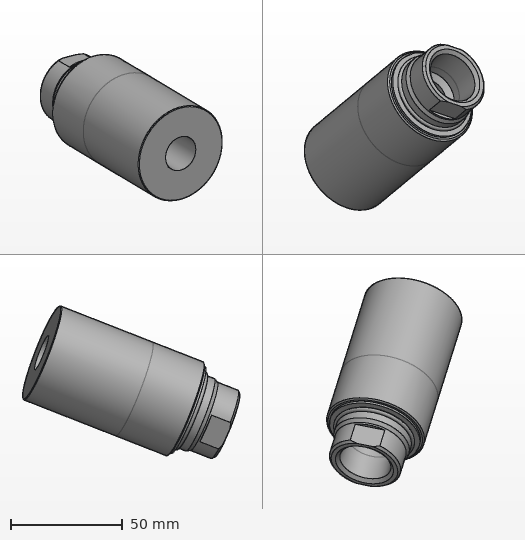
import cadquery as cq
import math

total_length = 89.87
nose_length = 11.15
cone_end = 13.0
flange_start = 18.75
body_start = 19.85
seam_position = 45.1

body_diameter = 45.26
flange_diameter = 41.78
neck_diameter = 35.0
nose_diameter = 32.97

nose_chamfer = 1.1
body_front_chamfer_length = 0.55
body_front_chamfer_depth = 0.8
body_rear_chamfer = 0.4

ring_centre_diameter = 35.26
ring_section_radius = 1.05

flat_across = 30.0
flat_length = 10.2

bore_mouth_diameter = 26.8
bore_start_diameter = 23.6
bore_end_diameter = 22.63
through_diameter = 16.26
bore_mouth_depth = (bore_mouth_diameter - bore_start_diameter) / 2
taper_end = 13.7
bore_depth = 18.0
drill_point_angle = 118.0
bore_floor_height = (bore_end_diameter - through_diameter) / 2
drill_point_length = bore_floor_height / math.tan(math.radians(drill_point_angle / 2))


def revolve_about_x(points):
    """Revolve a closed (x, radius) outline about the X axis."""
    return cq.Workplane("XY").polyline(points).close().revolve(360, (0, 0, 0), (1, 0, 0))


def make_front():
    """Nose, cone, neck, flange and the front part of the body, up to the seam."""
    nose_radius = nose_diameter / 2
    neck_radius = neck_diameter / 2
    flange_radius = flange_diameter / 2
    body_radius = body_diameter / 2
    return revolve_about_x([
        (0, 0),
        (0, nose_radius - nose_chamfer),
        (nose_chamfer, nose_radius),
        (nose_length, nose_radius),
        (cone_end, neck_radius),
        (flange_start, neck_radius),
        (flange_start, flange_radius),
        (body_start, flange_radius),
        (body_start, body_radius - body_front_chamfer_depth),
        (body_start + body_front_chamfer_length, body_radius),
        (seam_position, body_radius),
        (seam_position, 0),
    ])


def make_rear():
    """Rear part of the body, behind the seam, with a small edge chamfer."""
    rear_length = total_length - seam_position
    base = cq.Workplane("YZ", origin=(seam_position, 0, 0))
    rear = base.circle(body_diameter / 2).extrude(rear_length)
    return rear.faces(">X").chamfer(body_rear_chamfer)


def make_sealing_ring():
    """Round-section ring around the neck, touching the flange."""
    ring_x = flange_start - ring_section_radius
    section = cq.Workplane("XY").center(ring_x, ring_centre_diameter / 2).circle(ring_section_radius)
    axis_offset = -ring_centre_diameter / 2
    return section.revolve(360, (0, axis_offset, 0), (1, axis_offset, 0))


def make_bore():
    """Chamfered mouth, taper, straight stretch and conical floor, then the through hole."""
    return revolve_about_x([
        (0, 0),
        (0, bore_mouth_diameter / 2),
        (bore_mouth_depth, bore_start_diameter / 2),
        (taper_end, bore_end_diameter / 2),
        (bore_depth, bore_end_diameter / 2),
        (bore_depth + drill_point_length, through_diameter / 2),
        (total_length, through_diameter / 2),
        (total_length, 0),
    ])


def cut_wrench_flats(part):
    """Cut the two opposite flats at the front of the nose."""
    flat_depth = (nose_diameter - flat_across) / 2
    for side in (1, -1):
        centre_z = side * (flat_across + flat_depth) / 2
        cutter = cq.Workplane("XY").box(flat_length, nose_diameter, flat_depth)
        part = part.cut(cutter.translate((flat_length / 2, 0, centre_z)), clean=False)
    return part


body = make_front().union(make_rear(), clean=False).union(make_sealing_ring(), clean=False)
result = cut_wrench_flats(body.cut(make_bore(), clean=False))